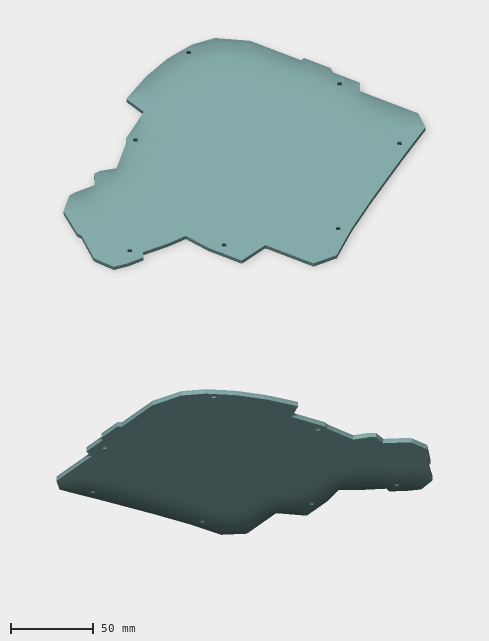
import cadquery as cq

plate_length = 200.0
plate_width = 171.8
thickness = 3.0
hole_diameter = 3.0

tab_shoulder_y = 197.5
upper_right_y = 191.5
lower_right_y = 56.5
lower_step_y = 39.2
notch_x = 14.0

curved_left_shoulder = [
    (0.0, 122.8),
    (2.4, 141.5),
    (3.2, 145.8),
    (7.8, 162.0),
    (9.4, 165.5),
    (16.2, 179.2),
    (26.2, 190.0),
    (46.4, tab_shoulder_y),
]
top_edge = [
    (80.8, tab_shoulder_y),
    (81.4, plate_length),
    (99.5, plate_length),
    (102.4, tab_shoulder_y),
    (120.4, tab_shoulder_y),
    (123.5, upper_right_y),
    (163.0, upper_right_y),
]
right_edge = [
    (plate_width, 183.8),
    (170.2, 159.0),
    (169.2, 137.4),
    (168.4, 118.5),
    (168.0, 91.5),
    (169.4, 68.8),
    (159.8, lower_right_y),
]
bottom_edge = [
    (127.2, lower_right_y),
    (120.0, lower_step_y),
    (97.0, lower_step_y),
    (81.0, 41.5),
    (74.2, 31.4),
    (63.5, 18.4),
    (65.8, 15.0),
    (59.4, 6.4),
    (53.0, 0.0),
]
thumb_lobe = [
    (39.2, 0.8),
    (24.4, 13.5),
    (21.4, 13.8),
    (6.0, 26.0),
    (3.5, 38.5),
    (5.4, 42.2),
    (13.5, 52.8),
    (9.2, 61.0),
    (11.4, 64.4),
    (19.4, 70.8),
]
left_notch = [
    (15.5, 91.5),
    (notch_x, 94.4),
    (notch_x, 118.4),
]
hole_centers = [
    (110.0, 191.2),
    (17.2, 172.5),
    (163.5, 165.2),
    (19.5, 96.0),
    (160.8, 88.0),
    (105.0, 45.4),
    (56.0, 15.8),
]

outline = (
    curved_left_shoulder
    + top_edge
    + right_edge
    + bottom_edge
    + thumb_lobe
    + left_notch
)

plate = cq.Workplane("XY").polyline(outline).close().extrude(thickness)
holes = cq.Workplane("XY").pushPoints(hole_centers).circle(hole_diameter / 2).extrude(thickness)
result = plate.cut(holes)